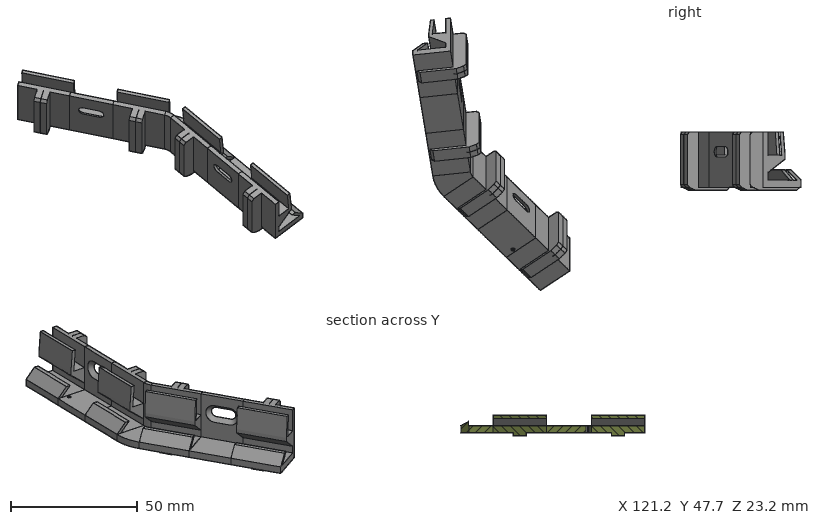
import cadquery as cq

bend_angle = 32.0
inner_bend_radius = 4.9
rail_length = 21.1
plate_length = 17.7

depth = 15.0
height = 22.0
wall = 2.0
floor = 2.9

lip_top = 7.0
lip_thickness = 1.8

arm_root = 5.8
arm_corner = 11.2
arm_back = 8.7
arm_thickness = 1.5
arm_lean = 0.7
channel_floor = 12.7

rib_width = 5.2
rib_projection = 5.2
rib_chamfer = 1.1
strap_drop = 1.2
strap_front = 1.2
strap_setback = 0.6
slit_width = 0.07

slot_length = 10.2
slot_width = 4.0
slot_height = 14.1
countersink = 1.7

pin_diameter = 0.6
pin_hole_diameter = 1.5
pin_from_plate_center = 7.5
pin_from_wall_face = 10.6


def extrude_profile(points, length):
    """Closed (Y, Z) profile, extruded from X = 0 toward +X."""
    return cq.Workplane("YZ").polyline(points).close().extrude(length)


def angle_profile():
    """Floor and wall only, with the outer wall face at Y = 0."""
    return [(0, 0), (depth, 0), (depth, floor), (wall, floor), (wall, height), (0, height)]


def rail_profile():
    """Floor and wall with the lip and the hooked arm."""
    lip_run = lip_top - floor
    arm_tip = arm_back - arm_lean
    return [
        (0, 0),
        (depth, 0),
        (depth, floor),
        (depth - lip_run, lip_top),
        (depth - lip_run - lip_thickness, lip_top),
        (depth - lip_thickness, floor),
        (wall, floor),
        (wall, arm_root),
        (arm_back, arm_corner),
        (arm_back, channel_floor),
        (arm_tip, height),
        (arm_tip - arm_thickness, height),
        (arm_back - arm_thickness, channel_floor),
        (wall, channel_floor),
        (wall, height),
        (0, height),
    ]


def make_rib():
    """Rib and strap centred on X = 0, with the slit in front of the wall."""
    strap_end = depth - strap_setback
    profile = [
        (0, height),
        (rib_chamfer - rib_projection, height),
        (-rib_projection, height - rib_chamfer),
        (-rib_projection, rib_chamfer),
        (rib_chamfer - rib_projection, 0),
        (-strap_front, -strap_drop),
        (strap_end - strap_drop, -strap_drop),
        (strap_end, 0),
        (0, 0),
    ]
    rib = extrude_profile(profile, rib_width).translate((-rib_width / 2, 0, 0))
    slit_profile = [
        (-rib_projection, -strap_drop),
        (0, -strap_drop),
        (0, height),
        (-rib_projection, height),
    ]
    slit = extrude_profile(slit_profile, slit_width).translate((-slit_width / 2, 0, 0))
    return rib.cut(slit)


def make_rail():
    rib = make_rib().translate((rail_length / 2, 0, 0))
    return extrude_profile(rail_profile(), rail_length).union(rib)


def make_mounting_piece():
    """Floor and wall with a slot that widens toward the inner wall face."""
    body = extrude_profile(angle_profile(), plate_length)
    slot = (
        cq.Workplane("XZ", origin=(plate_length / 2, 0, slot_height))
        .slot2D(slot_length, slot_width)
        .workplane(offset=-wall)
        .slot2D(slot_length + 2 * countersink, slot_width + 2 * countersink)
        .loft(ruled=True)
    )
    return body.cut(slot)


def make_floor_cylinder(diameter):
    """Upright cylinder as tall as the floor, in the pin's place on a mounting piece."""
    return (
        cq.Workplane("XY")
        .center(plate_length / 2 + pin_from_plate_center, pin_from_wall_face)
        .circle(diameter / 2)
        .extrude(floor)
    )


def make_corner():
    """Floor and wall turned about the Z axis, from the first leg round to the second."""
    points = [(y + inner_bend_radius, z) for y, z in angle_profile()]
    sector = cq.Workplane("XZ").polyline(points).close().revolve(bend_angle, (0, 0, 0), (0, 1, 0))
    return sector.rotate((0, 0, 0), (0, 0, 1), 90)


def place_on_first_leg(body, start):
    """The first leg runs toward +X; start is the distance from the corner."""
    return body.translate((start, inner_bend_radius, 0))


def place_on_second_leg(body, start, length):
    """The second leg runs toward -X, turned by the bend angle about the Z axis."""
    unturned = body.translate((-start - length, inner_bend_radius, 0))
    return unturned.rotate((0, 0, 0), (0, 0, 1), bend_angle)


corner = make_corner()

rails = []
for rail_start in (0, rail_length + plate_length):
    rails.append(place_on_first_leg(make_rail(), rail_start))
    rails.append(place_on_second_leg(make_rail(), rail_start, rail_length))

plain_piece = place_on_second_leg(make_mounting_piece(), rail_length, plate_length)
holed_piece = make_mounting_piece().cut(make_floor_cylinder(pin_hole_diameter))
holed_piece = place_on_first_leg(holed_piece, rail_length)
pin = place_on_first_leg(make_floor_cylinder(pin_diameter), rail_length)

result = cq.Compound.makeCompound(
    [
        corner.solids().val(),
        *[rail.solids().val() for rail in rails],
        plain_piece.solids().val(),
        holed_piece.solids().val(),
        pin.solids().val(),
    ]
)